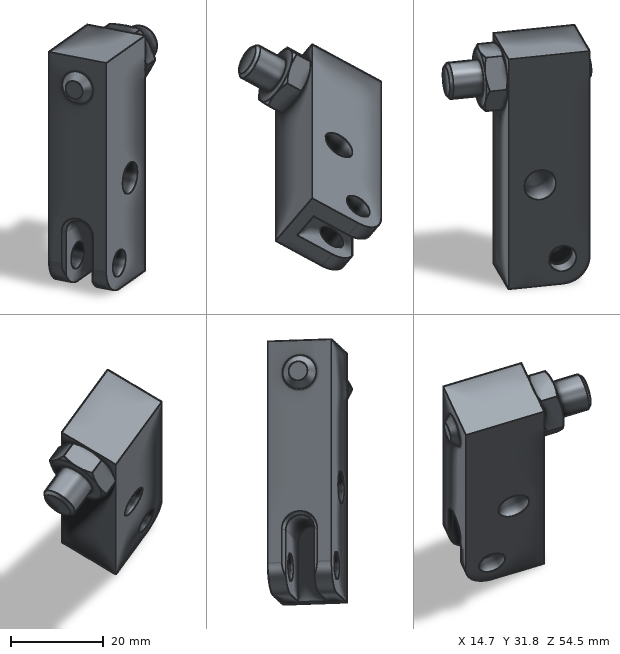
import cadquery as cq
import math

BODY_WIDTH = 14.0
BODY_DEPTH = 18.0
BODY_HEIGHT = 54.51
TOE_RADIUS = 6.0

PIN_HOLE_DIAMETER = 6.0
PIVOT_HOLE_DIAMETER = 7.0
PIVOT_HOLE_Y = 11.0
PIVOT_HOLE_Z = 24.0

SLOT_WIDTH = 6.25
SLOT_DEPTH = 15.0
SLOT_ARC_Z = 13.25
SLOT_CHAMFER = 0.75

OVERALL_DEPTH = 31.75
SCREW_DROP = 7.0
SCREW_DIAMETER = 7.94
SCREW_CHAMFER = 0.7
TIP_LENGTH = 1.6
TIP_BASE_DIAMETER = 7.4
TIP_END_DIAMETER = 4.15
NUT_SIDES = 6
NUT_ACROSS_FLATS = 12.7
NUT_THICKNESS = 4.76
NUT_CHAMFER_ANGLE = 30.0

SCREW_Z = BODY_HEIGHT - SCREW_DROP
SCREW_BACK_Y = OVERALL_DEPTH - TIP_LENGTH
NUT_ACROSS_CORNERS = NUT_ACROSS_FLATS / math.cos(math.pi / NUT_SIDES)


def cross_hole(diameter, y, z):
    """Cylinder along X through the whole width of the body."""
    return (
        cq.Workplane("YZ")
        .center(y, z)
        .circle(diameter / 2)
        .extrude(BODY_WIDTH / 2, both=True)
    )


def turned(profile, axis_z):
    """Revolve a profile of (radius, y) points about the Y-parallel axis at height axis_z."""
    return (
        cq.Workplane("XY")
        .polyline(profile)
        .close()
        .revolve(360, (0, 0), (0, 1))
        .translate((0, 0, axis_z))
    )


def straight_slot(half_width):
    """Slot with straight sides from the underside, a round top and a flat floor."""
    return (
        cq.Workplane("XZ")
        .moveTo(-half_width, 0)
        .lineTo(-half_width, SLOT_ARC_Z)
        .threePointArc((0, SLOT_ARC_Z + half_width), (half_width, SLOT_ARC_Z))
        .lineTo(half_width, 0)
        .close()
        .extrude(-SLOT_DEPTH)
    )


def make_slot():
    """Slot volume, flared by a 45 degree chamfer where it meets the front face."""
    half_width = SLOT_WIDTH / 2
    mouth_half_width = half_width + SLOT_CHAMFER
    flare_sides = (
        cq.Workplane("XY")
        .polyline([
            (-mouth_half_width, 0),
            (mouth_half_width, 0),
            (half_width, SLOT_CHAMFER),
            (-half_width, SLOT_CHAMFER),
        ])
        .close()
        .extrude(SLOT_ARC_Z)
    )
    flare_top = turned([
        (0, 0),
        (mouth_half_width, 0),
        (half_width, SLOT_CHAMFER),
        (0, SLOT_CHAMFER),
    ], SLOT_ARC_Z)
    return straight_slot(half_width).union(flare_sides).union(flare_top)


def make_body():
    body = (
        cq.Workplane("XY")
        .box(BODY_WIDTH, BODY_DEPTH, BODY_HEIGHT, centered=(True, False, False))
        .edges("<Y and <Z")
        .fillet(TOE_RADIUS)
    )
    body = body.cut(make_slot())
    body = body.cut(cross_hole(PIN_HOLE_DIAMETER, TOE_RADIUS, TOE_RADIUS))
    return body.cut(cross_hole(PIVOT_HOLE_DIAMETER, PIVOT_HOLE_Y, PIVOT_HOLE_Z))


def make_screw():
    """Screw with a conical tip in front of the body and a chamfered rear end."""
    radius = SCREW_DIAMETER / 2
    return turned([
        (0, -TIP_LENGTH),
        (TIP_END_DIAMETER / 2, -TIP_LENGTH),
        (TIP_BASE_DIAMETER / 2, 0),
        (radius, 0),
        (radius, SCREW_BACK_Y - SCREW_CHAMFER),
        (radius - SCREW_CHAMFER, SCREW_BACK_Y),
        (0, SCREW_BACK_Y),
    ], SCREW_Z)


def make_nut():
    """Hex nut against the back of the body, corners coned off on both faces."""
    front_y = BODY_DEPTH
    back_y = BODY_DEPTH + NUT_THICKNESS
    hexagon = (
        cq.Workplane("XZ", origin=(0, front_y, SCREW_Z))
        .polygon(NUT_SIDES, NUT_ACROSS_CORNERS)
        .extrude(-NUT_THICKNESS)
    )
    face_radius = NUT_ACROSS_FLATS / 2
    corner_radius = NUT_ACROSS_CORNERS / 2
    cone_height = (corner_radius - face_radius) * math.tan(math.radians(NUT_CHAMFER_ANGLE))
    coned_blank = turned([
        (0, front_y),
        (face_radius, front_y),
        (corner_radius, front_y + cone_height),
        (corner_radius, back_y - cone_height),
        (face_radius, back_y),
        (0, back_y),
    ], SCREW_Z)
    return hexagon.intersect(coned_blank)


result = make_body().union(make_nut()).union(make_screw(), clean=False)